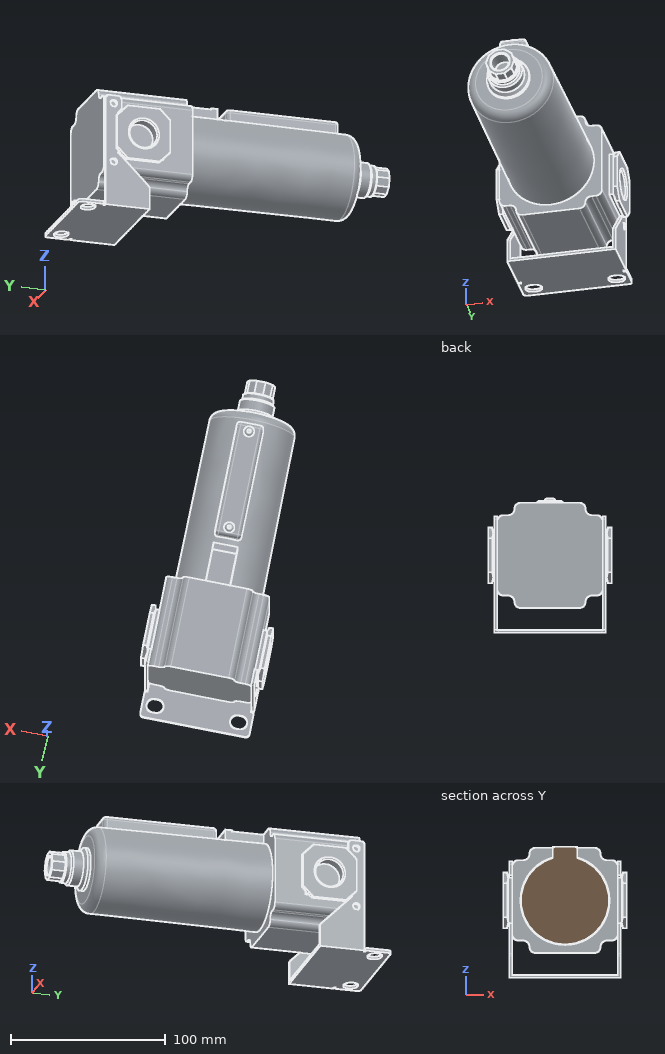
import cadquery as cq
import math


HEAD_SIZE = 68.0
HEAD_BACK_Y = 25.0
HEAD_FRONT_Y = -35.3
HEAD_ROUND = 4.0
HEAD_STEP_X = 11.0
HEAD_STEP_Z = 2 * HEAD_ROUND

PORT_Y = -0.2
FLANGE_SPAN = 80.0
FLANGE_SIZE = 36.0
FLANGE_CHAMFER = 7.0
FLANGE_RIM = 2.6
FLANGE_BACK_TAPER = 0.8
NECK_SIZE = 29.5
PORT_DIAMETER = 18.6
PORT_CHAMFER = 1.1
PORT_DEPTH = 10.0

BOWL_BACK_RADIUS = 28.8
BOWL_FRONT_RADIUS = 28.15
BOWL_ROUND = 6.0
BOWL_FRONT_Y = -153.2
DRAIN_BASE_RADIUS = 14.0
DRAIN_BASE_Y = -155.2
DRAIN_BODY_RADIUS = 11.5
DRAIN_BODY_START_Y = -157.3
DRAIN_BODY_END_Y = -164.0
DRAIN_COLLAR_RADIUS = 10.2
DRAIN_COLLAR_START_Y = -165.2
DRAIN_COLLAR_END_Y = -169.0
DRAIN_COLLAR_CHAMFER = 0.6
NUT_SIDES = 10
NUT_ACROSS_FLATS = 17.7
NUT_FRONT_Y = -177.6
DRAIN_BORE_DIAMETER = 12.0
DRAIN_BORE_CHAMFER = 0.6
DRAIN_BORE_DEPTH = 12.0

LATCH_WIDTH = 16.0
LATCH_FRONT_Y = -61.0
LATCH_TOP_Z = 33.9
LATCH_RIDGE_LENGTH = 4.5
LATCH_RIDGE_HEIGHT = 0.8

COVER_WIDTH = 17.5
COVER_BACK_Y = -66.8
COVER_FRONT_Y = -143.2
COVER_TOP_Z = 35.3
COVER_ROUND = 2.4
SCREW_INSET = 5.8
SCREW_RADIUS = 3.4
SCREW_HEIGHT = 1.5
SCREW_FLAT_RADIUS = 1.5
SCREW_BULGE = 0.3
SOCKET_DIAMETER = 2.0
SOCKET_DEPTH = 0.8

BRACKET_THICKNESS = 2.0
BRACKET_WIDTH = HEAD_SIZE + 2 * BRACKET_THICKNESS
BRACKET_BOTTOM_Z = -50.0
BRACKET_TOP_Z = 25.3
BRACKET_BACK_Y = 24.4
BRACKET_FRONT_Y = -5.4
STRIP_FRONT_Y = 13.7
STRIP_NOTCH_Y = 16.0
STRIP_NOTCH_Z = 14.0
BRACE_END_Z = -34.8
BRACKET_CORNER_ROUND = 2.0
BRACE_ROUND = 2.0
BRACKET_HOLE_DIAMETER = 4.5
BRACKET_HOLE_Y = 18.9
BRACKET_HOLE_Z = 20.0
TAB_BACK_Y = 42.4
TAB_FRONT_Y = 25.4
TAB_OUTER_ROUND = 2.5
TAB_INNER_ROUND = 1.2
SLOT_LENGTH = 11.0
SLOT_WIDTH = 9.0
SLOT_SPACING = 55.0
SLOT_Y = 33.6


def block(x_range, y_range, z_range):
    """Box given by its limits along each axis."""
    return (
        cq.Workplane("XY")
        .box(x_range[1] - x_range[0], y_range[1] - y_range[0], z_range[1] - z_range[0], centered=False)
        .translate((x_range[0], y_range[0], z_range[0]))
    )


def centred_block(width, y_range, z_range):
    """Box centred on X = 0, with limits along Y and Z."""
    return block((-width / 2, width / 2), y_range, z_range)


def make_head():
    """One quarter of the cross profile, extruded with its rounds and mirrored twice."""
    half = HEAD_SIZE / 2
    step_x = half - HEAD_STEP_X
    step_z = half - HEAD_STEP_Z
    quarter = (
        cq.Workplane("XZ", origin=(0, HEAD_BACK_Y, 0))
        .lineTo(0, half)
        .lineTo(step_x - HEAD_ROUND, half)
        .radiusArc((step_x, half - HEAD_ROUND), HEAD_ROUND)
        .radiusArc((step_x + HEAD_ROUND, step_z), -HEAD_ROUND)
        .lineTo(half - HEAD_ROUND, step_z)
        .radiusArc((half, step_z - HEAD_ROUND), HEAD_ROUND)
        .lineTo(half, 0)
        .close()
        .extrude(HEAD_BACK_Y - HEAD_FRONT_Y)
    )
    upper_half = quarter.union(quarter.mirror("YZ"))
    return upper_half.union(upper_half.mirror("XY")).clean()


def make_flange():
    """Port flange and neck on the -X side of the head."""
    outer_x = -FLANGE_SPAN / 2
    neck_x = outer_x + FLANGE_RIM + FLANGE_BACK_TAPER
    octagon = (
        cq.Workplane("YZ", origin=(outer_x, PORT_Y, 0))
        .rect(FLANGE_SIZE, FLANGE_SIZE)
        .extrude(FLANGE_RIM + FLANGE_BACK_TAPER)
        .edges("|X")
        .chamfer(FLANGE_CHAMFER)
    )
    rim = cq.Workplane("YZ", origin=(outer_x, PORT_Y, 0)).rect(FLANGE_SIZE, FLANGE_SIZE).extrude(FLANGE_RIM)
    tapered_back = (
        cq.Workplane("YZ", origin=(outer_x + FLANGE_RIM, PORT_Y, 0))
        .rect(FLANGE_SIZE, FLANGE_SIZE)
        .workplane(offset=FLANGE_BACK_TAPER)
        .rect(NECK_SIZE, NECK_SIZE)
        .loft(ruled=True)
    )
    neck = (
        cq.Workplane("YZ", origin=(neck_x, PORT_Y, 0))
        .rect(NECK_SIZE, NECK_SIZE)
        .extrude(-HEAD_SIZE / 2 - neck_x)
    )
    return rim.union(tapered_back).intersect(octagon).union(neck)


def chamfered_bore(diameter, chamfer, depth):
    """Cutter that enters at Z = 0 and runs toward +Z."""
    radius = diameter / 2
    return (
        cq.Workplane("XZ")
        .moveTo(0, 0)
        .lineTo(radius + chamfer, 0)
        .lineTo(radius, chamfer)
        .lineTo(radius, depth)
        .lineTo(0, depth)
        .close()
        .revolve(360, (0, 0, 0), (0, 1, 0))
    )


def make_port_bore():
    """Port bore entering from the -X side."""
    bore = chamfered_bore(PORT_DIAMETER, PORT_CHAMFER, PORT_DEPTH)
    return bore.rotate((0, 0, 0), (0, 1, 0), 90).translate((-FLANGE_SPAN / 2, PORT_Y, 0))


def make_bowl():
    """Tapered bowl and stepped drain, turned about the Y axis."""
    corner_y = BOWL_FRONT_Y + BOWL_ROUND
    inner_radius = BOWL_FRONT_RADIUS - BOWL_ROUND
    arc_reach = BOWL_ROUND * math.sqrt(0.5)
    return (
        cq.Workplane("YZ")
        .moveTo(HEAD_FRONT_Y, 0)
        .lineTo(HEAD_FRONT_Y, BOWL_BACK_RADIUS)
        .lineTo(corner_y, BOWL_FRONT_RADIUS)
        .threePointArc((corner_y - arc_reach, inner_radius + arc_reach), (BOWL_FRONT_Y, inner_radius))
        .lineTo(BOWL_FRONT_Y, DRAIN_BASE_RADIUS)
        .lineTo(DRAIN_BASE_Y, DRAIN_BASE_RADIUS)
        .lineTo(DRAIN_BODY_START_Y, DRAIN_BODY_RADIUS)
        .lineTo(DRAIN_BODY_END_Y, DRAIN_BODY_RADIUS)
        .lineTo(DRAIN_COLLAR_START_Y, DRAIN_COLLAR_RADIUS)
        .lineTo(DRAIN_COLLAR_END_Y + DRAIN_COLLAR_CHAMFER, DRAIN_COLLAR_RADIUS)
        .lineTo(DRAIN_COLLAR_END_Y, DRAIN_COLLAR_RADIUS - DRAIN_COLLAR_CHAMFER)
        .lineTo(DRAIN_COLLAR_END_Y, 0)
        .close()
        .revolve(360, (0, 0, 0), (1, 0, 0))
    )


def make_drain_nut():
    """Ten-sided nut at the free end of the drain."""
    corner_diameter = NUT_ACROSS_FLATS / math.cos(math.pi / NUT_SIDES)
    return (
        cq.Workplane("XZ", origin=(0, DRAIN_COLLAR_END_Y, 0))
        .polygon(NUT_SIDES, corner_diameter)
        .extrude(DRAIN_COLLAR_END_Y - NUT_FRONT_Y)
    )


def make_drain_bore():
    """Blind bore entering from the free end of the drain nut."""
    bore = chamfered_bore(DRAIN_BORE_DIAMETER, DRAIN_BORE_CHAMFER, DRAIN_BORE_DEPTH)
    return bore.rotate((0, 0, 0), (1, 0, 0), -90).translate((0, NUT_FRONT_Y, 0))


def make_latch():
    """Block along the top of the bowl with a low ridge at its free end."""
    body = centred_block(LATCH_WIDTH, (LATCH_FRONT_Y, HEAD_FRONT_Y), (0, LATCH_TOP_Z))
    ridge_range = (LATCH_FRONT_Y, LATCH_FRONT_Y + LATCH_RIDGE_LENGTH)
    ridge = centred_block(LATCH_WIDTH, ridge_range, (0, LATCH_TOP_Z + LATCH_RIDGE_HEIGHT))
    return body.union(ridge)


def make_cover_screw(y):
    """Domed screw head with a small round socket."""
    dome_middle = ((SCREW_RADIUS + SCREW_FLAT_RADIUS) / 2 + SCREW_BULGE, SCREW_HEIGHT / 2 + SCREW_BULGE)
    dome = (
        cq.Workplane("XZ")
        .lineTo(SCREW_RADIUS, 0)
        .threePointArc(dome_middle, (SCREW_FLAT_RADIUS, SCREW_HEIGHT))
        .lineTo(0, SCREW_HEIGHT)
        .close()
        .revolve(360, (0, 0, 0), (0, 1, 0))
    )
    screw = dome.faces(">Z").workplane().hole(SOCKET_DIAMETER, SOCKET_DEPTH)
    return screw.translate((0, y, COVER_TOP_Z))


def make_cover():
    """Rounded sight cover with a screw near each end."""
    cover = centred_block(COVER_WIDTH, (COVER_FRONT_Y, COVER_BACK_Y), (0, COVER_TOP_Z))
    cover = cover.edges("|Z").fillet(COVER_ROUND).faces(">Z").edges().fillet(COVER_ROUND)
    for y in (COVER_BACK_Y - SCREW_INSET, COVER_FRONT_Y + SCREW_INSET):
        cover = cover.union(make_cover_screw(y))
    return cover


def make_bracket_side():
    """Side plate on the -X side, braced at 45 degrees down to its wide foot."""
    brace_top_z = BRACE_END_Z + STRIP_NOTCH_Y - BRACKET_FRONT_Y
    notch_run = STRIP_NOTCH_Y - STRIP_FRONT_Y
    outline = [
        (BRACKET_BACK_Y, BRACKET_BOTTOM_Z),
        (BRACKET_FRONT_Y, BRACKET_BOTTOM_Z),
        (BRACKET_FRONT_Y, BRACE_END_Z),
        (STRIP_NOTCH_Y, brace_top_z),
        (STRIP_NOTCH_Y, STRIP_NOTCH_Z),
        (STRIP_FRONT_Y, STRIP_NOTCH_Z + notch_run),
        (STRIP_FRONT_Y, BRACKET_TOP_Z),
        (BRACKET_BACK_Y, BRACKET_TOP_Z),
    ]
    side = (
        cq.Workplane("YZ", origin=(-BRACKET_WIDTH / 2, 0, 0))
        .polyline(outline)
        .close()
        .extrude(BRACKET_THICKNESS)
    )
    side = side.edges("|X and >Z").fillet(BRACKET_CORNER_ROUND)
    brace_end = cq.selectors.NearestToPointSelector((-HEAD_SIZE / 2, BRACKET_FRONT_Y, BRACE_END_Z))
    side = side.edges("|X").edges(brace_end).fillet(BRACE_ROUND)
    holes = (
        cq.Workplane("YZ", origin=(-BRACKET_WIDTH / 2, 0, 0))
        .pushPoints([(BRACKET_HOLE_Y, BRACKET_HOLE_Z), (BRACKET_HOLE_Y, -BRACKET_HOLE_Z)])
        .circle(BRACKET_HOLE_DIAMETER / 2)
        .extrude(BRACKET_THICKNESS)
    )
    return side.cut(holes)


def make_bracket_base():
    """Bottom plate with a slotted mounting tab behind the head."""
    plate_z = (BRACKET_BOTTOM_Z, BRACKET_BOTTOM_Z + BRACKET_THICKNESS)
    floor = centred_block(HEAD_SIZE, (BRACKET_FRONT_Y, TAB_FRONT_Y), plate_z)
    tab = centred_block(BRACKET_WIDTH, (TAB_FRONT_Y, TAB_BACK_Y), plate_z)
    tab = tab.edges("|Z and >Y").fillet(TAB_OUTER_ROUND)
    tab = tab.edges("|Z and <Y").fillet(TAB_INNER_ROUND)
    slots = (
        cq.Workplane("XY", origin=(0, SLOT_Y, BRACKET_BOTTOM_Z))
        .pushPoints([(-SLOT_SPACING / 2, 0), (SLOT_SPACING / 2, 0)])
        .slot2D(SLOT_LENGTH, SLOT_WIDTH)
        .extrude(BRACKET_THICKNESS)
    )
    return floor.union(tab).cut(slots)


def on_both_sides(feature):
    """The feature together with its mirror image across X = 0."""
    return feature.union(feature.mirror("YZ"))


solid = make_head()
solid = solid.union(make_bowl())
solid = solid.union(make_drain_nut())
solid = solid.union(make_latch())
solid = solid.union(make_cover())
solid = solid.union(on_both_sides(make_flange()))
solid = solid.union(on_both_sides(make_bracket_side()))
solid = solid.union(make_bracket_base())
solid = solid.cut(on_both_sides(make_port_bore()))
solid = solid.cut(make_drain_bore())

result = solid